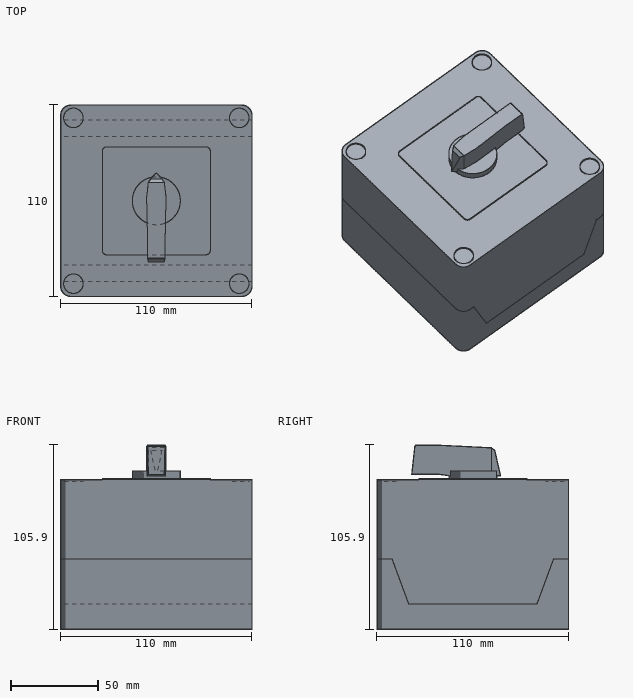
import cadquery as cq

box_side = 110.0
box_height = 86.0
box_corner_radius = 6.0
split_height = 40.6
tongue_tip_height = 14.6
tongue_root_half = 46.4
tongue_tip_half = 36.8

screw_spacing = 95.2
screw_recess_diameter = 11.2
screw_recess_depth = 1.0

plate_side = 62.0
plate_thickness = 0.8
plate_corner_radius = 2.5

overall_height = 105.86
disk_radius = 13.8
disk_height = 4.3
grip_nose_clearance = 1.4
grip_tail_clearance = 2.3
nose_top_drop = 1.5
nose_bevel_drop = 1.5
tail_bevel_drop = 0.9

tip_y = 16.0
nose_corner_y = 13.4
nose_bevel_y = 12.6
shoulder_y = 10.6
bulge_front_y = 2.5
bulge_back_y = -1.6
underside_break_y = -13.5
tail_start_y = -20.0
tail_round_y = -31.4
tail_bevel_y = -32.8
tail_top_y = -33.4
tail_end_y = -35.1

nose_corner_half = tip_y - nose_corner_y
shoulder_half = 4.6
bulge_half = 5.5
tail_half = 5.1
tail_end_half = 4.5

plate_top = box_height + plate_thickness


def make_enclosure_block():
    """Full outline of the closed enclosure."""
    block = cq.Workplane("XY").box(box_side, box_side, box_height, centered=(True, True, False))
    return block.edges("|Z").fillet(box_corner_radius)


def make_cover_region():
    """Space above the parting line, with the tapered tongue running along X."""
    half = box_side / 2
    return (
        cq.Workplane("YZ")
        .moveTo(-half, box_height)
        .lineTo(-half, split_height)
        .lineTo(-tongue_root_half, split_height)
        .lineTo(-tongue_tip_half, tongue_tip_height)
        .lineTo(tongue_tip_half, tongue_tip_height)
        .lineTo(tongue_root_half, split_height)
        .lineTo(half, split_height)
        .lineTo(half, box_height)
        .close()
        .extrude(half, both=True)
    )


def make_base():
    return make_enclosure_block().cut(make_cover_region())


def make_cover():
    """Upper enclosure half with a shallow round recess over each corner screw."""
    return (
        make_enclosure_block()
        .intersect(make_cover_region())
        .faces(">Z")
        .workplane(origin=(0, 0, box_height))
        .rarray(screw_spacing, screw_spacing, 2, 2)
        .hole(screw_recess_diameter, screw_recess_depth)
    )


def make_face_plate():
    return (
        cq.Workplane("XY", origin=(0, 0, box_height))
        .rect(plate_side, plate_side)
        .extrude(plate_thickness)
        .edges("|Z")
        .fillet(plate_corner_radius)
    )


def make_grip_plan():
    """Plan outline of the grip: pointed nose, bulged middle, straight tail with a rounded end."""
    return (
        cq.Workplane("XY", origin=(0, 0, plate_top))
        .moveTo(0, tip_y)
        .lineTo(nose_corner_half, nose_corner_y)
        .lineTo(shoulder_half, shoulder_y)
        .lineTo(bulge_half, bulge_front_y)
        .lineTo(bulge_half, bulge_back_y)
        .lineTo(tail_half, tail_start_y)
        .lineTo(tail_half, tail_round_y)
        .tangentArcPoint((tail_end_half, tail_end_y), relative=False)
        .lineTo(0, tail_end_y)
        .mirrorY()
    )


def make_grip_profile():
    """Side profile of the grip: raked nose and tail, top rising toward the tail."""
    nose_top = overall_height - nose_top_drop
    nose_bottom = plate_top + grip_nose_clearance
    tail_bottom = plate_top + grip_tail_clearance
    return (
        cq.Workplane("YZ")
        .moveTo(tip_y, nose_bottom)
        .lineTo(nose_bevel_y, nose_top - nose_bevel_drop)
        .lineTo(shoulder_y, nose_top)
        .lineTo(tail_start_y, overall_height)
        .lineTo(tail_bevel_y, overall_height)
        .lineTo(tail_top_y, overall_height - tail_bevel_drop)
        .lineTo(tail_end_y, tail_bottom)
        .lineTo(tail_start_y, tail_bottom)
        .lineTo(underside_break_y, nose_bottom)
        .close()
        .extrude(bulge_half, both=True)
    )


def make_knob():
    """Turning knob: round disk on the face plate carrying the pointer grip."""
    disk = cq.Workplane("XY", origin=(0, 0, plate_top)).circle(disk_radius).extrude(disk_height)
    grip = make_grip_plan().extrude(overall_height - plate_top).intersect(make_grip_profile())
    return disk.union(grip)


base = make_base()
cover = make_cover()
face_plate = make_face_plate()
knob = make_knob()

result = cq.Compound.makeCompound([base.val(), cover.val(), face_plate.val(), knob.val()])